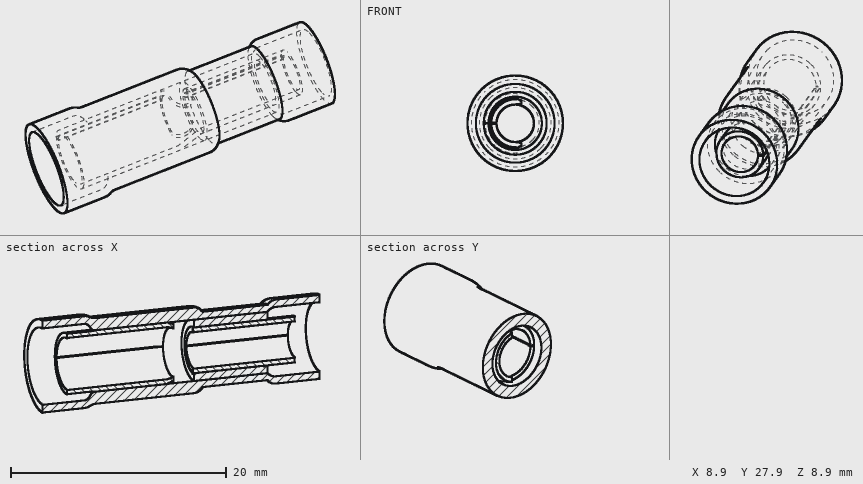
import cadquery as cq
import math

total_length = 27.88
front_end_y = -total_length / 2

front_bell_radius = 4.45
middle_radius = 4.15
waist_radius = 3.65
rear_bell_radius = 4.07
front_bell_end = 4.2
front_shoulder_bend = 4.8
middle_start = 5.33
middle_end = 15.2
waist_start = 16.13
waist_end = 22.64
rear_bell_start = 23.45

front_bore_radius = 3.66
rear_wall = 0.75
rear_bore_radius = rear_bell_radius - rear_wall

barrel_radius = 2.93
barrel_bore_radius = 2.48
socket_bore_radius = 1.73
socket_radius = 2.23
barrel_start = 2.45
barrel_end = 12.6
socket_start = 15.2
socket_end = 25.4
seam_gap = 0.08

sleeve_end = waist_end

notch_length = 2.1
notch_floor_x = 0.6
notch_corner_radius = 1.0


def bend(start, end, start_is_tangent):
    """Middle point of an arc from start to end, tangent to the axis direction at one end.

    Points are (radius, distance along the axis).
    """
    tangent_point, other_point = (start, end) if start_is_tangent else (end, start)
    rise = other_point[0] - tangent_point[0]
    run = other_point[1] - tangent_point[1]
    arc_radius = (rise**2 + run**2) / (2 * abs(rise))
    half_angle = math.atan2(abs(rise), abs(run))
    middle_rise = math.copysign(arc_radius * (1 - math.cos(half_angle)), rise)
    middle_run = math.copysign(arc_radius * math.sin(half_angle), run)
    return (tangent_point[0] + middle_rise, tangent_point[1] + middle_run)


def arc_to(profile, start, end, start_is_tangent):
    return profile.threePointArc(bend(start, end, start_is_tangent), end)


def s_curve_to(profile, start, end, bend_place):
    """Two opposite arcs that leave and arrive along the axis and meet at bend_place."""
    share = (bend_place - start[1]) / (end[1] - start[1])
    middle = (start[0] + share * (end[0] - start[0]), bend_place)
    profile = arc_to(profile, start, middle, True)
    return arc_to(profile, middle, end, False)


def turn(profile):
    """Revolve a closed (radius, distance) profile and move its zero to the front end."""
    solid = profile.close().revolve(360, (0, 0), (0, 1))
    return solid.translate((0, front_end_y, 0))


def make_housing():
    profile = cq.Workplane("XY").moveTo(front_bore_radius, 0).lineTo(front_bell_radius, 0)
    profile = profile.lineTo(front_bell_radius, front_bell_end)
    profile = s_curve_to(
        profile, (front_bell_radius, front_bell_end), (middle_radius, middle_start), front_shoulder_bend
    )
    profile = profile.lineTo(middle_radius, middle_end)
    profile = arc_to(profile, (middle_radius, middle_end), (waist_radius, waist_start), True)
    profile = profile.lineTo(waist_radius, waist_end)
    profile = arc_to(profile, (waist_radius, waist_end), (rear_bell_radius, rear_bell_start), False)
    profile = profile.lineTo(rear_bell_radius, total_length)

    profile = profile.lineTo(rear_bore_radius, total_length).lineTo(rear_bore_radius, rear_bell_start)
    profile = arc_to(profile, (rear_bore_radius, rear_bell_start), (barrel_radius, waist_end), True)
    profile = profile.lineTo(barrel_radius, middle_start)
    profile = s_curve_to(
        profile, (barrel_radius, middle_start), (front_bore_radius, front_bell_end),
        (middle_start + front_bell_end) / 2,
    )
    return turn(profile)


def make_notch_cutter():
    """Slot across the neck, ending at the socket, with round corners at its floor."""
    outer_x = -2 * barrel_radius
    cutter = cq.Workplane("XY").box(
        notch_floor_x - outer_x, notch_length, 2 * barrel_radius,
        centered=(False, False, True),
    )
    cutter = cutter.edges("|Z and >X").fillet(notch_corner_radius)
    return cutter.translate((outer_x, front_end_y + socket_start - notch_length, 0))


def make_seam_cutter():
    """Narrow gap along the -X side where the rolled sheet's edges meet."""
    cutter = cq.Workplane("XY").box(
        2 * barrel_radius, total_length, seam_gap, centered=(False, False, True)
    )
    return cutter.translate((-2 * barrel_radius, front_end_y, 0))


def make_terminal():
    profile = cq.Workplane("XY").moveTo(barrel_bore_radius, barrel_start)
    profile = profile.lineTo(barrel_radius, barrel_start).lineTo(barrel_radius, barrel_end)
    profile = profile.lineTo(socket_radius, socket_start)
    profile = profile.lineTo(socket_radius, socket_end).lineTo(socket_bore_radius, socket_end)
    profile = profile.lineTo(socket_bore_radius, socket_start).lineTo(barrel_bore_radius, barrel_end)
    return turn(profile).cut(make_notch_cutter()).cut(make_seam_cutter()).solids()


def make_sleeve():
    """Plain ring that fills the space between the socket and the housing's long bore."""
    profile = cq.Workplane("XY").moveTo(socket_radius, socket_start)
    profile = profile.lineTo(barrel_radius, socket_start).lineTo(barrel_radius, sleeve_end)
    return turn(profile.lineTo(socket_radius, sleeve_end))


housing = make_housing()
terminal = make_terminal()
sleeve = make_sleeve()

result = cq.Compound.makeCompound([housing.val(), terminal.val(), sleeve.val()])